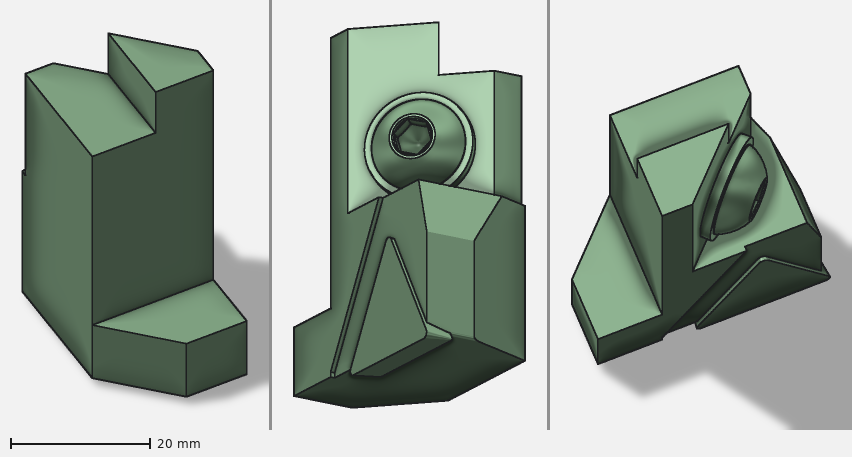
import cadquery as cq
import math


depth = 19.9
block_width = 20.0
block_height = 43.5
tongue_top = 51.5
tongue_depth = 9.5
seat_corner_y = -15.25
seat_offset = block_width + seat_corner_y

foot_length = 9.95
foot_height = 10.45

nose_reach = 25.0
nose_front_x = -20.95
nose_side_depth = 8.7
nose_top = 23.55
nose_top_x = -22.8
nose_slope_start = 15.0
nose_edge_radius = 0.5

tip_left = -26.1
tip_bottom = -1.5
tip_width = 20.7
tip_corner_radius = 0.8
tip_thickness = 4.7
tip_relief_angle = 7
recess_depth = 0.7
recess_top_x = -13.15
side_slope = math.tan(math.radians(60))

screw_y = -7.65
screw_z = 32.5
flange_diameter = 16.0
flange_thickness = 1.6
dome_diameter = 13.9
dome_base = 1.75
head_height = 5.7
head_flat_diameter = 6.8
socket_across_flats = 5.0
socket_rim_diameter = 6.0
socket_bore_diameter = 5.5
socket_depth = 2.55
socket_turn = -15
socket_floor_angle = 30


def make_block():
    """Upright block with a 45 degree screw seat, and the thinner tongue on top."""
    block = (
        cq.Workplane("XY")
        .polyline([(0, 0), (-seat_offset, 0), (-block_width, seat_corner_y), (-block_width, -depth), (0, -depth)])
        .close()
        .extrude(block_height)
    )
    tongue = (
        cq.Workplane("XY")
        .polyline([(0, 0), (-seat_offset, 0), (-tongue_depth - seat_offset, -tongue_depth), (0, -tongue_depth)])
        .close()
        .extrude(tongue_top)
    )
    return block.union(tongue)


def make_foot():
    """Low foot whose front corner is cut at 45 degrees."""
    return (
        cq.Workplane("XY")
        .polyline([(0, 0), (foot_length, 0), (foot_length, foot_length - depth), (0, -depth)])
        .close()
        .extrude(foot_height)
    )


def make_nose():
    """Lower nose: tapered in plan, sloped at its upper left, rounded at its lower left edge."""
    plan = (
        cq.Workplane("XY")
        .polyline([(0, 0), (-nose_reach, 0), (-nose_reach, -nose_side_depth), (nose_front_x, -depth), (0, -depth)])
        .close()
        .extrude(nose_top)
    )
    side_profile = (
        cq.Workplane("XZ")
        .moveTo(0, 0)
        .lineTo(0, nose_top)
        .lineTo(nose_top_x, nose_top)
        .lineTo(-nose_reach, nose_slope_start)
        .lineTo(-nose_reach, nose_edge_radius)
        .radiusArc((nose_edge_radius - nose_reach, 0), -nose_edge_radius)
        .close()
        .extrude(depth)
    )
    return plan.intersect(side_profile)


def make_tip_recess():
    """Shallow recess in the back of the nose, bounded by a wall parallel to the tip's right side."""
    recess_bottom_x = recess_top_x + nose_top / side_slope
    return (
        cq.Workplane("XZ")
        .polyline([(-nose_reach, 0), (-nose_reach, nose_top), (recess_top_x, nose_top), (recess_bottom_x, 0)])
        .close()
        .extrude(recess_depth)
    )


def make_tip():
    """Equilateral tip with rounded corners, narrowing toward the front by its relief angle."""
    side = tip_width + 2 * tip_corner_radius * (math.sqrt(3) - 1)
    middle_x = tip_left + tip_width / 2
    triangle_height = side * math.sqrt(3) / 2
    outline = (
        cq.Sketch()
        .polygon([(-side / 2, 0), (side / 2, 0), (0, triangle_height), (-side / 2, 0)])
        .vertices()
        .fillet(tip_corner_radius)
    )
    return (
        cq.Workplane("XZ", origin=(middle_x, 0, tip_bottom))
        .placeSketch(outline)
        .extrude(tip_thickness, taper=tip_relief_angle)
    )


def make_holder():
    body = make_block().union(make_nose()).cut(make_tip_recess())
    return body.union(make_foot()).union(make_tip())


def make_socket():
    """Cutter for the hexagonal socket, with a countersunk rim and a conical floor."""
    hexagon = (
        cq.Workplane("XY", origin=(0, 0, head_height))
        .polygon(6, socket_across_flats, circumscribed=True)
        .extrude(-2 * socket_depth)
        .rotate((0, 0, 0), (0, 0, 1), socket_turn)
    )
    rim_radius = socket_rim_diameter / 2
    bore_radius = socket_bore_diameter / 2
    rim_depth = rim_radius - bore_radius
    floor_drop = bore_radius * math.tan(math.radians(socket_floor_angle))
    bore = (
        cq.Workplane("XZ", origin=(0, 0, head_height))
        .polyline([
            (0, 0),
            (rim_radius, 0),
            (rim_radius, -socket_depth),
            (bore_radius, -socket_depth),
            (0, -socket_depth - floor_drop),
        ])
        .close()
        .revolve(360, (0, 0, 0), (0, 1, 0))
    )
    countersink = (
        cq.Workplane("XZ", origin=(0, 0, head_height))
        .polyline([(0, 0), (rim_radius, 0), (bore_radius, -rim_depth), (0, -rim_depth)])
        .close()
        .revolve(360, (0, 0, 0), (0, 1, 0))
    )
    return hexagon.intersect(bore).union(countersink)


def make_screw():
    """Flanged button head, standing on the 45 degree seat, with a hexagonal socket."""
    flange_radius = flange_diameter / 2
    dome_radius = dome_diameter / 2
    flat_radius = head_flat_diameter / 2
    sphere_centre = (flat_radius**2 + head_height**2 - dome_radius**2 - dome_base**2) / (
        2 * (head_height - dome_base)
    )
    sphere_radius = math.hypot(dome_radius, dome_base - sphere_centre)
    head = (
        cq.Workplane("XZ")
        .moveTo(0, 0)
        .lineTo(flange_radius, 0)
        .lineTo(flange_radius, flange_thickness)
        .lineTo(dome_radius, flange_thickness)
        .lineTo(dome_radius, dome_base)
        .radiusArc((flat_radius, head_height), -sphere_radius)
        .lineTo(0, head_height)
        .close()
        .revolve(360, (0, 0, 0), (0, 1, 0))
    )
    head = head.cut(make_socket())
    seat = cq.Plane(origin=(screw_y - seat_offset, screw_y, screw_z), xDir=(0, 0, 1), normal=(-1, 1, 0))
    return cq.Workplane(head.val().moved(cq.Location(seat)))


holder = make_holder()
screw = make_screw()
result = cq.Compound.makeCompound([holder.val(), screw.val()])